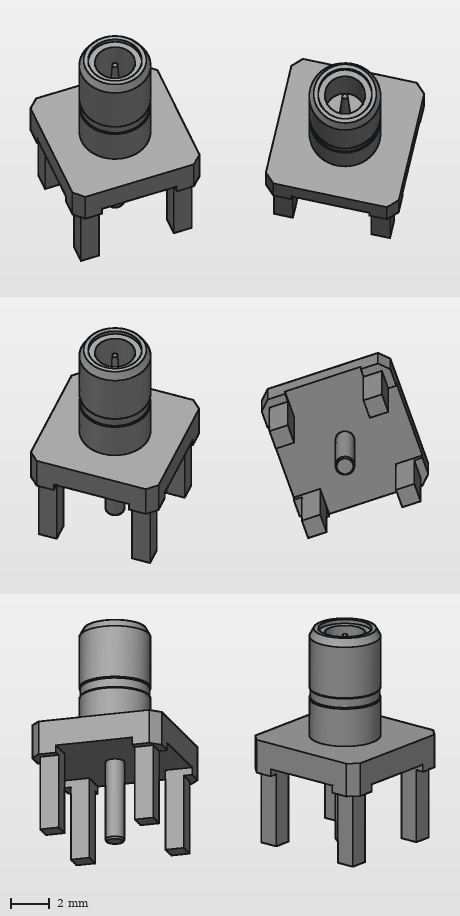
import cadquery as cq
import math

total_height = 11.5
base_width = 7.0

base_thickness = 1.78
corner_chamfer = 0.51
recess_depth = 0.39
leg_length = 3.92
leg_width = 1.0
leg_inner_offset = 2.06
leg_center = leg_inner_offset + leg_width / 2
base_top = leg_length + base_thickness
recess_top = leg_length + recess_depth

barrel_radius = 1.84
rim_radius = 1.61
rim_chamfer_height = 0.41
groove_radius = 1.79
groove_flank_height = 0.07
groove_offset = 2.02
groove_width = 0.61
groove_bottom = base_top + groove_offset
groove_top = groove_bottom + groove_width

counterbore_radius = 1.38
counterbore_depth = 0.21
socket_radius = 1.04
socket_depth = 2.76
socket_floor = total_height - socket_depth

contact_base_radius = 0.26
contact_tip_radius = 0.14
contact_tip_depth = 0.3
contact_dome_height = 0.1
contact_tip = total_height - contact_tip_depth

solder_pin_radius = 0.5
solder_pin_chamfer = 0.07
solder_pin_chamfer_height = 0.12


def make_base():
    """Chamfered square base, relieved underneath by two crossing channels."""
    base = (
        cq.Workplane("XY", origin=(0, 0, leg_length))
        .rect(base_width, base_width)
        .extrude(base_thickness)
        .edges("|Z")
        .chamfer(corner_chamfer)
    )
    channel_width = 2 * leg_inner_offset
    for size_x, size_y in ((base_width, channel_width), (channel_width, base_width)):
        channel = (
            cq.Workplane("XY", origin=(0, 0, leg_length))
            .rect(size_x, size_y)
            .extrude(recess_depth)
        )
        base = base.cut(channel)
    return base


def make_legs():
    """Four square legs, one under each corner pad."""
    return (
        cq.Workplane("XY")
        .rect(2 * leg_center, 2 * leg_center, forConstruction=True)
        .vertices()
        .rect(leg_width, leg_width)
        .extrude(recess_top)
    )


def make_barrel():
    """Hollow turned barrel, revolved from its radius-height outline."""
    socket_rim = total_height - counterbore_depth
    outline = [
        (0, recess_top),
        (barrel_radius, recess_top),
        (barrel_radius, groove_bottom),
        (groove_radius, groove_bottom + groove_flank_height),
        (groove_radius, groove_top - groove_flank_height),
        (barrel_radius, groove_top),
        (barrel_radius, total_height - rim_chamfer_height),
        (rim_radius, total_height),
        (counterbore_radius, total_height),
        (counterbore_radius, socket_rim),
        (socket_radius, socket_rim),
        (socket_radius, socket_floor),
        (0, socket_floor),
    ]
    return cq.Workplane("XZ").polyline(outline).close().revolve(360, (0, 0), (0, 1))


def make_contact():
    """Slender tapered contact pin with a domed tip."""
    dome_base = contact_tip - contact_dome_height
    dome_radius = (contact_tip_radius**2 + contact_dome_height**2) / (2 * contact_dome_height)
    dome_center = contact_tip - dome_radius
    mid_radius = contact_tip_radius / 2
    mid_height = dome_center + math.sqrt(dome_radius**2 - mid_radius**2)
    return (
        cq.Workplane("XZ")
        .moveTo(0, recess_top)
        .lineTo(contact_base_radius, recess_top)
        .lineTo(contact_base_radius, socket_floor)
        .lineTo(contact_tip_radius, dome_base)
        .threePointArc((mid_radius, mid_height), (0, contact_tip))
        .close()
        .revolve(360, (0, 0), (0, 1))
    )


def make_solder_pin():
    """Round pin under the base with a chamfered free end."""
    outline = [
        (0, 0),
        (solder_pin_radius - solder_pin_chamfer, 0),
        (solder_pin_radius, solder_pin_chamfer_height),
        (solder_pin_radius, base_top),
        (0, base_top),
    ]
    return cq.Workplane("XZ").polyline(outline).close().revolve(360, (0, 0), (0, 1))


result = (
    make_base()
    .union(make_legs())
    .union(make_barrel())
    .union(make_contact())
    .union(make_solder_pin())
)